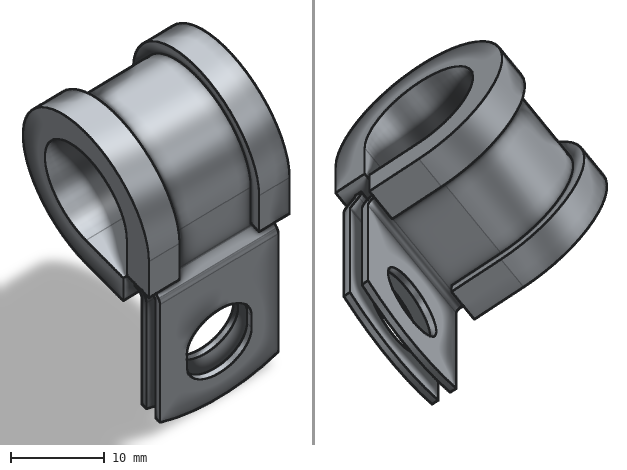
import cadquery as cq
import math

outer_radius = 11.0
inner_radius = 7.15
cushion_width = 18.95
lower_leg_end_x = 6.55
right_leg_end_z = -6.12

strap_radius = 9.55
strap_thickness = 0.82
flange_width = 4.1
groove_width = cushion_width - 2 * flange_width

overall_height = 41.1
tab_width = 15.95
tab_bottom_z = outer_radius - overall_height
tab_end_rise = 1.73
tab_corner_z = tab_bottom_z + tab_end_rise
left_tab_outer_x = 8.63
hole_radius = 4.35
right_slot_extension = 2.0
hole_z = -20.6
tab_reach = outer_radius + 0.4

elbow_outer_radius = 1.73
elbow_inner_radius = elbow_outer_radius - strap_thickness
jog_convex_radius = 1.03
jog_concave_radius = jog_convex_radius - strap_thickness
jog_inner_end_z = -8.3
strap_overlap = 0.4


def extrude_about_y(sketch, width):
    """Extrude an XZ sketch symmetrically about Y = 0."""
    return sketch.extrude(width / 2, both=True)


def loop_body(radius, width):
    """Three-quarter disc with tangent legs at the bottom and the right."""
    sketch = (
        cq.Workplane("XZ")
        .moveTo(radius, right_leg_end_z)
        .lineTo(radius, 0)
        .threePointArc((-radius * math.sqrt(0.5), radius * math.sqrt(0.5)), (0, -radius))
        .lineTo(lower_leg_end_x, -radius)
        .lineTo(lower_leg_end_x, -inner_radius)
        .lineTo(0, -inner_radius)
        .threePointArc((-inner_radius * math.sqrt(0.5), inner_radius * math.sqrt(0.5)), (inner_radius, 0))
        .lineTo(inner_radius, right_leg_end_z)
        .close()
    )
    return extrude_about_y(sketch, width)


def fillet_bend(body, x, z, radius):
    """Round the edge along Y that passes through (x, z)."""
    return body.edges(cq.selectors.NearestToPointSelector((x, 0, z))).fillet(radius)


def left_tab():
    """Strap end that leaves the lower leg and turns straight down."""
    outer_x = left_tab_outer_x
    inner_x = outer_x - strap_thickness
    bottom_face_z = -strap_radius
    top_face_z = bottom_face_z + strap_thickness
    start_x = lower_leg_end_x - strap_overlap
    profile = [
        (start_x, top_face_z),
        (outer_x, top_face_z),
        (outer_x, tab_bottom_z),
        (inner_x, tab_bottom_z),
        (inner_x, bottom_face_z),
        (start_x, bottom_face_z),
    ]
    tab = extrude_about_y(cq.Workplane("XZ").polyline(profile).close(), tab_width)
    tab = fillet_bend(tab, outer_x, top_face_z, elbow_outer_radius)
    return fillet_bend(tab, inner_x, bottom_face_z, elbow_inner_radius)


def right_tab():
    """Strap end that leaves the right leg and jogs outward at 45 degrees."""
    upper_outer_x = strap_radius
    upper_inner_x = upper_outer_x - strap_thickness
    lower_outer_x = outer_radius
    lower_inner_x = lower_outer_x - strap_thickness
    jog_offset = lower_outer_x - upper_outer_x
    miter = strap_thickness * math.tan(math.radians(22.5))
    jog_inner_start_z = jog_inner_end_z + jog_offset
    jog_outer_start_z = jog_inner_start_z + miter
    jog_outer_end_z = jog_inner_end_z + miter
    start_z = right_leg_end_z + strap_overlap
    profile = [
        (upper_inner_x, start_z),
        (upper_outer_x, start_z),
        (upper_outer_x, jog_outer_start_z),
        (lower_outer_x, jog_outer_end_z),
        (lower_outer_x, tab_bottom_z),
        (lower_inner_x, tab_bottom_z),
        (lower_inner_x, jog_inner_end_z),
        (upper_inner_x, jog_inner_start_z),
    ]
    tab = extrude_about_y(cq.Workplane("XZ").polyline(profile).close(), tab_width)
    tab = fillet_bend(tab, upper_outer_x, jog_outer_start_z, jog_concave_radius)
    tab = fillet_bend(tab, lower_outer_x, jog_outer_end_z, jog_convex_radius)
    tab = fillet_bend(tab, lower_inner_x, jog_inner_end_z, jog_concave_radius)
    return fillet_bend(tab, upper_inner_x, jog_inner_start_z, jog_convex_radius)


def bolt_cutter():
    """Cutter along X for the round bolt hole in the left tab."""
    return cq.Workplane("YZ").center(0, hole_z).circle(hole_radius).extrude(tab_reach)


def slot_cutter():
    """Cutter along X for the upright bolt slot in the right tab."""
    slot_width = 2 * hole_radius
    slot_length = slot_width + right_slot_extension
    return cq.Workplane("YZ").center(0, hole_z).slot2D(slot_length, slot_width, 90).extrude(tab_reach)


def tab_outline():
    """Envelope that gives a tab its curved bottom."""
    half_width = tab_width / 2
    return (
        cq.Workplane("YZ")
        .moveTo(-half_width, 0)
        .lineTo(-half_width, tab_corner_z)
        .threePointArc((0, tab_bottom_z), (half_width, tab_corner_z))
        .lineTo(half_width, 0)
        .close()
        .extrude(tab_reach)
    )


def flanged_cushion():
    """Full-width loop with its middle band recessed to the strap surface."""
    groove_cutter = cq.Workplane("XY").box(3 * outer_radius, groove_width, 3 * outer_radius)
    flanges = loop_body(outer_radius, cushion_width).cut(groove_cutter)
    return flanges.union(loop_body(strap_radius, cushion_width))


trimmed_left_tab = left_tab().intersect(tab_outline()).cut(bolt_cutter())
trimmed_right_tab = right_tab().intersect(tab_outline()).cut(slot_cutter())
result = flanged_cushion().union(trimmed_left_tab).union(trimmed_right_tab)